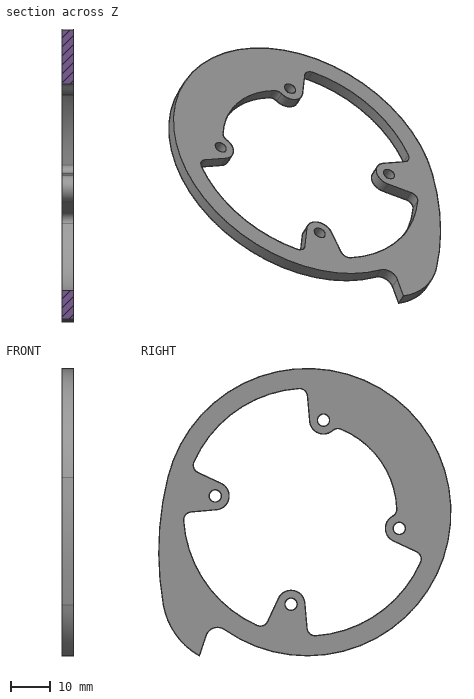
import cadquery as cq
import math


THICKNESS = 3.0

RIM_RADIUS = 36.0
SWELL_START_ANGLE = 166.0
SWELL_REACH = 37.22
SWELL_END_Z = -23.2
TAIL_TIP = (-27.0, -36.0)
TAIL_EDGE_ANGLE = 71.6
TAIL_ROOT_FILLET = 3.0

OPENING_RADIUS = 31.0
WIDE_BAND_INNER_RADIUS = 22.4
OPENING_CORNER_FILLET = 2.0
WIDE_BAND_FILLET = 2.0

LUG_COUNT = 4
LUG_PITCH = 360.0 / LUG_COUNT
FIRST_LUG_ANGLE = -10.0
LUG_CIRCLE_RADIUS = 23.4
LUG_NOSE_RADIUS = 3.5
LUG_SIDE_ANGLE = 15.0
HOLE_DIAMETER = 3.0

LUG_ANGLES = [FIRST_LUG_ANGLE + i * LUG_PITCH for i in range(LUG_COUNT)]
RING_MID_RADIUS = (RIM_RADIUS + OPENING_RADIUS) / 2
MATCH_TOLERANCE = 0.05


def polar(radius, angle, centre=(0.0, 0.0)):
    """Point at the given distance and angle from a centre."""
    a = math.radians(angle)
    return (centre[0] + radius * math.cos(a), centre[1] + radius * math.sin(a))


def plate(sketch):
    """Extrude a closed profile to the plate thickness."""
    return sketch.extrude(THICKNESS)


def profile():
    return cq.Workplane("YZ")


def direction(start, end):
    """Angle of the line from start to end, from 0 to 360 degrees."""
    return math.degrees(math.atan2(end[1] - start[1], end[0] - start[0])) % 360


def rim_crossing():
    """Point where the straight tail edge, followed up from the tip, meets the rim circle."""
    step = polar(1.0, TAIL_EDGE_ANGLE)
    along = TAIL_TIP[0] * step[0] + TAIL_TIP[1] * step[1]
    tip_distance_squared = TAIL_TIP[0] ** 2 + TAIL_TIP[1] ** 2
    length = -along - math.sqrt(along ** 2 - tip_distance_squared + RIM_RADIUS ** 2)
    return polar(length, TAIL_EDGE_ANGLE, TAIL_TIP)


def outer_body():
    cosine = -math.cos(math.radians(SWELL_START_ANGLE))
    swell_radius = (SWELL_REACH - RIM_RADIUS * cosine) / (1 - cosine)
    swell_centre = polar(RIM_RADIUS - swell_radius, SWELL_START_ANGLE)
    swell_start = polar(RIM_RADIUS, SWELL_START_ANGLE)
    drop = swell_centre[1] - SWELL_END_Z
    swell_end_angle = 180 + math.degrees(math.asin(drop / swell_radius))
    swell_mid = polar(swell_radius, (SWELL_START_ANGLE + swell_end_angle) / 2, swell_centre)
    swell_end = polar(swell_radius, swell_end_angle, swell_centre)

    inward = polar(1.0, swell_end_angle + 180)
    chord = (TAIL_TIP[0] - swell_end[0], TAIL_TIP[1] - swell_end[1])
    chord_squared = chord[0] ** 2 + chord[1] ** 2
    tail_radius = chord_squared / (2 * (chord[0] * inward[0] + chord[1] * inward[1]))
    tail_centre = polar(tail_radius, swell_end_angle + 180, swell_end)
    tail_mid_angle = (swell_end_angle + direction(tail_centre, TAIL_TIP)) / 2
    tail_mid = polar(tail_radius, tail_mid_angle, tail_centre)

    rim_far_point = (RIM_RADIUS, 0.0)
    root = rim_crossing()
    outline = (
        profile()
        .moveTo(*swell_start)
        .threePointArc(swell_mid, swell_end)
        .threePointArc(tail_mid, TAIL_TIP)
        .lineTo(*root)
        .threePointArc(rim_far_point, swell_start)
        .close()
    )
    return plate(outline)


def lug(angle):
    """Lug with a round nose, widening outward until it is buried in the ring."""
    centre = polar(LUG_CIRCLE_RADIUS, angle)
    lean = math.radians(LUG_SIDE_ANGLE)
    side_length = (RING_MID_RADIUS - LUG_CIRCLE_RADIUS) / math.cos(lean)
    left_normal = angle + 90 + LUG_SIDE_ANGLE
    right_normal = angle - 90 - LUG_SIDE_ANGLE
    left_start = polar(LUG_NOSE_RADIUS, left_normal, centre)
    right_start = polar(LUG_NOSE_RADIUS, right_normal, centre)
    nose = polar(LUG_NOSE_RADIUS, angle + 180, centre)
    outline = (
        profile()
        .moveTo(*left_start)
        .threePointArc(nose, right_start)
        .lineTo(*polar(side_length, angle - LUG_SIDE_ANGLE, right_start))
        .lineTo(*polar(side_length, angle + LUG_SIDE_ANGLE, left_start))
        .close()
    )
    return plate(outline)


def wide_band():
    """Sector that thickens the ring inward between the first two lugs."""
    start = FIRST_LUG_ANGLE
    end = FIRST_LUG_ANGLE + LUG_PITCH
    middle = (start + end) / 2
    outline = (
        profile()
        .moveTo(*polar(WIDE_BAND_INNER_RADIUS, start))
        .lineTo(*polar(RING_MID_RADIUS, start))
        .threePointArc(polar(RING_MID_RADIUS, middle), polar(RING_MID_RADIUS, end))
        .lineTo(*polar(WIDE_BAND_INNER_RADIUS, end))
        .threePointArc(polar(WIDE_BAND_INNER_RADIUS, middle), polar(WIDE_BAND_INNER_RADIUS, start))
        .close()
    )
    return plate(outline)


def fillet_corners(body, is_corner, radius):
    """Round the through-thickness edges whose (y, z) position satisfies is_corner."""
    edges = [e for e in body.edges("|X").vals() if is_corner(e.Center().y, e.Center().z)]
    return body.newObject(edges).fillet(radius)


def at_radius(radius):
    return lambda y, z: abs(math.hypot(y, z) - radius) < MATCH_TOLERANCE


def at_point(point):
    return lambda y, z: math.hypot(y - point[0], z - point[1]) < MATCH_TOLERANCE


def build():
    body = outer_body().cut(plate(profile().circle(OPENING_RADIUS)))
    body = body.union(wide_band())
    for angle in LUG_ANGLES:
        body = body.union(lug(angle))

    body = fillet_corners(body, at_radius(OPENING_RADIUS), OPENING_CORNER_FILLET)
    body = fillet_corners(body, at_radius(WIDE_BAND_INNER_RADIUS), WIDE_BAND_FILLET)
    body = fillet_corners(body, at_point(rim_crossing()), TAIL_ROOT_FILLET)

    hole_centres = [polar(LUG_CIRCLE_RADIUS, angle) for angle in LUG_ANGLES]
    holes = profile().pushPoints(hole_centres).circle(HOLE_DIAMETER / 2)
    return body.cut(plate(holes))


result = build()